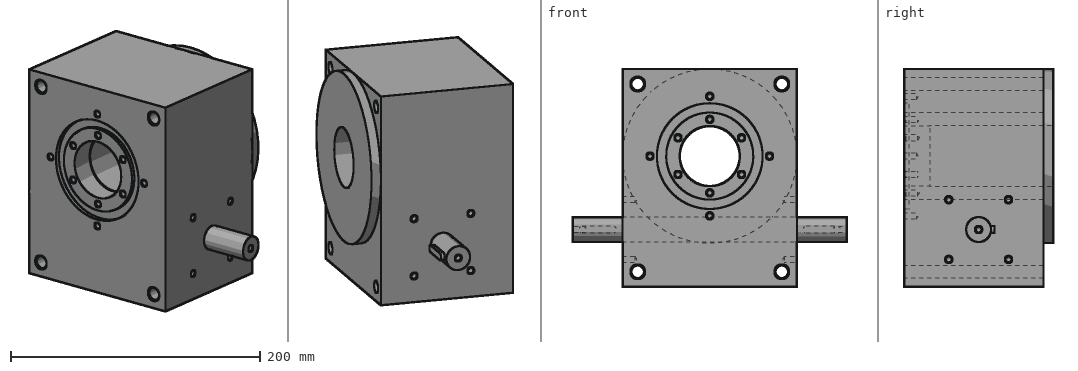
import cadquery as cq
import math

HOUSING_WIDTH = 140.0
HOUSING_DEPTH = 112.0
HOUSING_HEIGHT = 175.0

HUB_DIAMETER = 70.0
FLANGE_DIAMETER = HOUSING_WIDTH
FLANGE_THICKNESS = 8.0
HUB_Z = HOUSING_HEIGHT - FLANGE_DIAMETER / 2
FRONT_BORE_DIAMETER = 48.0
REAR_BORE_DIAMETER = 49.0
FRONT_BORE_LENGTH = 20.0
HUB_INSET = 0.9
HUB_SCREW_CIRCLE = 59.0
HUB_SCREW_COUNT = 6

RECESS_DIAMETER = 85.0
RECESS_DEPTH = 4.0
FRONT_SCREW_CIRCLE = 96.0
FRONT_SCREW_COUNT = 4

MOUNT_HOLE_DIAMETER = 10.1
MOUNT_HOLE_CHAMFER = 0.9
MOUNT_HOLE_INSET = 12.0

SHAFT_DIAMETER = 20.0
SHAFT_LENGTH = 220.0
SHAFT_Y = 59.8
SHAFT_Z = HUB_Z - 59.0
KEY_LENGTH = 30.0
KEY_WIDTH = 6.0
KEY_END_GAP = 5.0
KEY_TOP = 12.8
SIDE_SCREW_SPACING = 48.0

SCREW_DIAMETER = 4.8
SCREW_DEPTH = 10.0
SCREW_CHAMFER = 0.55
DRILL_POINT_ANGLE = 118.0


def cylinder(start, direction, diameter, length):
    return cq.Workplane(cq.Solid.makeCylinder(diameter / 2, length, cq.Vector(*start), cq.Vector(*direction)))


def cone(start, direction, start_diameter, end_diameter, length):
    return cq.Workplane(
        cq.Solid.makeCone(start_diameter / 2, end_diameter / 2, length, cq.Vector(*start), cq.Vector(*direction))
    )


def chamfered_hole(start, direction, diameter, depth, chamfer):
    """Cutter for a round hole with a 45 degree chamfer at its mouth."""
    mouth = cone(start, direction, diameter + 2 * chamfer, diameter, chamfer)
    return cylinder(start, direction, diameter, depth).union(mouth)


def screw_hole(start, direction):
    """Cutter for a blind screw hole: chamfered mouth and conical drill point."""
    tip_length = SCREW_DIAMETER / 2 / math.tan(math.radians(DRILL_POINT_ANGLE / 2))
    tip_start = (cq.Vector(*start) + cq.Vector(*direction) * SCREW_DEPTH).toTuple()
    tip = cone(tip_start, direction, SCREW_DIAMETER, 0, tip_length)
    return chamfered_hole(start, direction, SCREW_DIAMETER, SCREW_DEPTH, SCREW_CHAMFER).union(tip)


def cut_screw_circle(body, face_y, circle_diameter, count):
    """Cut screw holes into a front-facing surface, evenly spaced around the hub axis from the top."""
    for index in range(count):
        angle = math.radians(90 + index * 360 / count)
        x = circle_diameter / 2 * math.cos(angle)
        z = HUB_Z + circle_diameter / 2 * math.sin(angle)
        body = body.cut(screw_hole((x, face_y, z), (0, 1, 0)))
    return body


def cut_mount_holes(body):
    for x in (MOUNT_HOLE_INSET - HOUSING_WIDTH / 2, HOUSING_WIDTH / 2 - MOUNT_HOLE_INSET):
        for z in (MOUNT_HOLE_INSET, HOUSING_HEIGHT - MOUNT_HOLE_INSET):
            hole = chamfered_hole((x, 0, z), (0, 1, 0), MOUNT_HOLE_DIAMETER, HOUSING_DEPTH, MOUNT_HOLE_CHAMFER)
            body = body.cut(hole)
    return body


def cut_side_screws(body):
    """Cut a square pattern of blind holes around the shaft on both side faces."""
    half_spacing = SIDE_SCREW_SPACING / 2
    for side in (-1, 1):
        for y in (SHAFT_Y - half_spacing, SHAFT_Y + half_spacing):
            for z in (SHAFT_Z - half_spacing, SHAFT_Z + half_spacing):
                body = body.cut(screw_hole((side * HOUSING_WIDTH / 2, y, z), (-side, 0, 0)))
    return body


def make_housing():
    body = cq.Workplane("XY").box(HOUSING_WIDTH, HOUSING_DEPTH, HOUSING_HEIGHT, centered=(True, False, False))
    body = body.cut(cylinder((0, 0, HUB_Z), (0, 1, 0), HUB_DIAMETER, HOUSING_DEPTH))
    body = body.cut(cylinder((0, 0, HUB_Z), (0, 1, 0), RECESS_DIAMETER, RECESS_DEPTH))
    shaft_start = (-HOUSING_WIDTH / 2, SHAFT_Y, SHAFT_Z)
    body = body.cut(cylinder(shaft_start, (1, 0, 0), SHAFT_DIAMETER, HOUSING_WIDTH))
    body = cut_mount_holes(body)
    body = cut_screw_circle(body, 0, FRONT_SCREW_CIRCLE, FRONT_SCREW_COUNT)
    return cut_side_screws(body)


def make_output_hub():
    hub_length = HOUSING_DEPTH + FLANGE_THICKNESS - HUB_INSET
    hub_front = (0, HUB_INSET, HUB_Z)
    body = cylinder(hub_front, (0, 1, 0), HUB_DIAMETER, hub_length)
    body = body.union(cylinder((0, HOUSING_DEPTH, HUB_Z), (0, 1, 0), FLANGE_DIAMETER, FLANGE_THICKNESS))
    body = body.cut(cylinder(hub_front, (0, 1, 0), FRONT_BORE_DIAMETER, hub_length))
    rear_bore_start = (0, HUB_INSET + FRONT_BORE_LENGTH, HUB_Z)
    rear_bore_length = hub_length - FRONT_BORE_LENGTH
    body = body.cut(cylinder(rear_bore_start, (0, 1, 0), REAR_BORE_DIAMETER, rear_bore_length))
    return cut_screw_circle(body, HUB_INSET, HUB_SCREW_CIRCLE, HUB_SCREW_COUNT)


def make_input_shaft():
    """Shaft with a round-ended key on its +Y side and a centre hole at each end."""
    body = (
        cq.Workplane("YZ", origin=(-SHAFT_LENGTH / 2, SHAFT_Y, SHAFT_Z))
        .circle(SHAFT_DIAMETER / 2)
        .extrude(SHAFT_LENGTH)
    )
    key_x = SHAFT_LENGTH / 2 - KEY_END_GAP - KEY_LENGTH / 2
    for side in (-1, 1):
        key = (
            cq.Workplane("XZ", origin=(side * key_x, SHAFT_Y, SHAFT_Z))
            .slot2D(KEY_LENGTH, KEY_WIDTH)
            .extrude(-KEY_TOP)
        )
        body = body.union(key)
    for side in (-1, 1):
        body = body.cut(screw_hole((side * SHAFT_LENGTH / 2, SHAFT_Y, SHAFT_Z), (-side, 0, 0)))
    return body


housing = make_housing()
output_hub = make_output_hub()
input_shaft = make_input_shaft()

result = cq.Compound.makeCompound([housing.val(), output_hub.val(), input_shaft.val()])